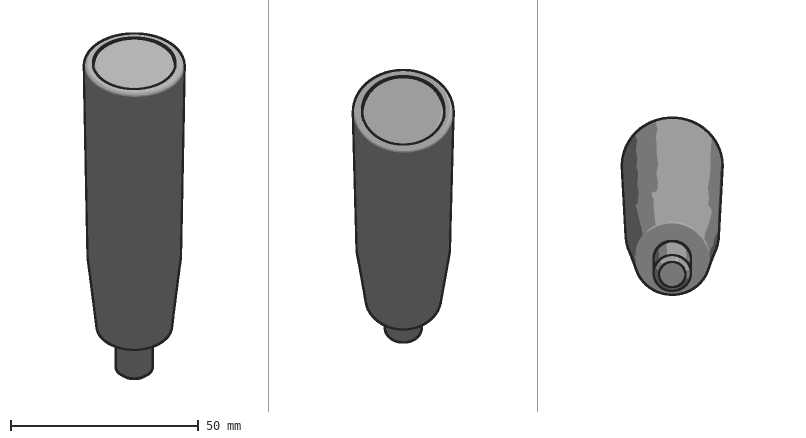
import cadquery as cq

total_length = 105.0
top_diameter = 27.0
waist_diameter = 25.0
bottom_diameter = 20.2
waist_height = 39.2
top_rounding = 1.0
bottom_rounding = 0.5

stud_diameter = 10.0
stud_length = 15.0
stud_chamfer = 1.5
collar_diameter = 10.1
collar_length = 0.4

cap_seat_diameter = 22.0
cap_diameter = 21.7
cap_rounding = 0.5
cap_gap_depth = 1.0


def cylinder(diameter, bottom, height):
    """Upright cylinder on the grip axis."""
    return cq.Workplane("XY").workplane(offset=bottom).circle(diameter / 2).extrude(height)


def make_grip():
    """Grip with a straight lower taper and a slightly flared, round-edged upper part."""
    profile = (
        cq.Workplane("XZ")
        .moveTo(0, stud_length)
        .lineTo(bottom_diameter / 2, stud_length)
        .lineTo(waist_diameter / 2, waist_height)
        .lineTo(top_diameter / 2, total_length - top_rounding)
        .radiusArc((top_diameter / 2 - top_rounding, total_length), -top_rounding)
        .lineTo(0, total_length)
        .close()
    )
    grip = profile.revolve(360, (0, 0, 0), (0, 1, 0))
    return grip.faces("<Z").edges().fillet(bottom_rounding)


def make_cap():
    """Round-edged cap flush with the top of the grip."""
    cap = cylinder(cap_diameter, total_length - cap_gap_depth, cap_gap_depth)
    return cap.faces(">Z").edges().fillet(cap_rounding)


def make_stud():
    """Stud with a chamfered tip and a thin collar under the grip."""
    stud = cylinder(stud_diameter, 0, stud_length)
    stud = stud.faces("<Z").edges().chamfer(stud_chamfer)
    collar = cylinder(collar_diameter, stud_length - collar_length, collar_length)
    return stud.union(collar)


cap_seat = cylinder(cap_seat_diameter, total_length - cap_gap_depth, cap_gap_depth)
result = make_grip().cut(cap_seat).union(make_cap()).union(make_stud())